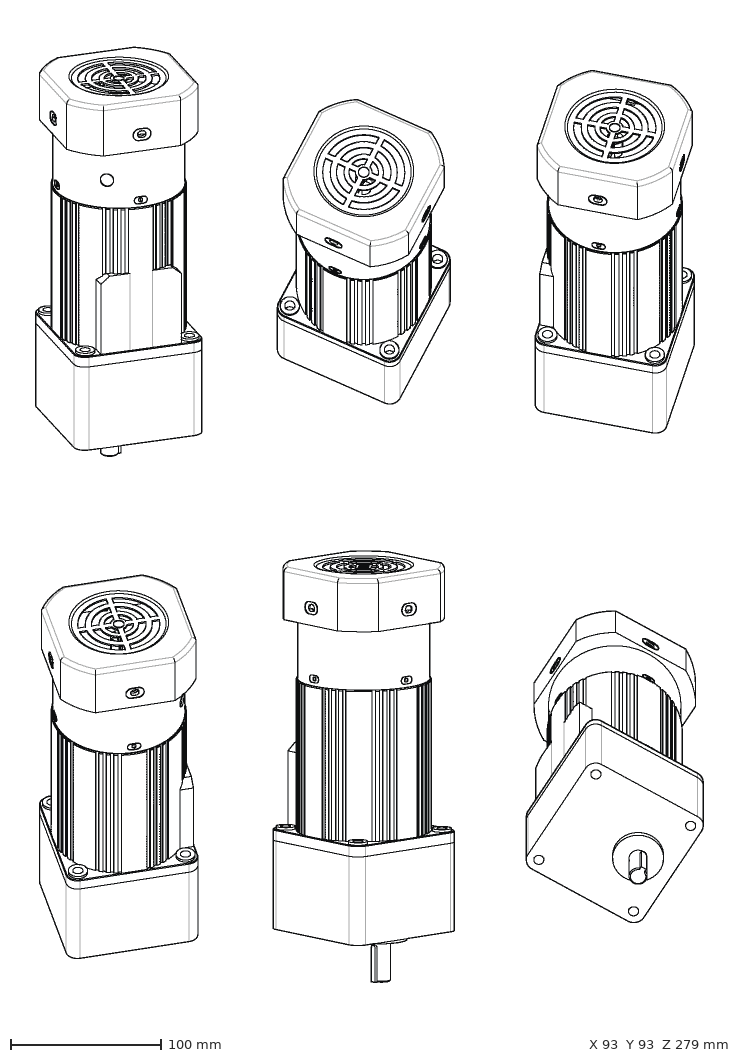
import cadquery as cq
total_height = 279.0
boss_bottom = 28.2
gearbox_bottom = 32.5
gearbox_top = 92.3
flange_top = 100.0
stator_top = 202.3
spigot_top = 210.5
shield_top = 243.5
cover_floor = 254.2
hole_row_level = 255.3

body_width = 90.0
corner_radius = 7.8
shaft_offset = -18.0
boss_radius = 34.0 / 2
shaft_radius = 12.0 / 2
shaft_chamfer = 0.8
key_width = 4.0
key_projection = 1.5
key_length = 25.0
key_end_radius = 0.49 * key_width

bolt_pitch = 73.7
bolt_radius = 3.3
pad_radius = 6.5
pad_height = 1.7
edge_chamfer = 0.5
stator_radius = body_width / 2
stator_bevel_height = 0.8
stator_bevel_width = 0.3
groove_count = 4
groove_pitch = 6.5
groove_width = 2.2
groove_depth = 0.8
band_count = 8
band_pitch = 360 / band_count
lead_box_inner_x = 28.0
lead_box_outer_x = 44.5
lead_box_width = 57.0
lead_box_top = 155.5
lead_box_bevel = 6.0
lead_box_bevel_drop = 5.0

shield_radius = 44.0
shield_wall = 1.0
cable_hole_radius = 4.5
cable_hole_angle = -30
cable_hole_level = 222.0
latch_level = 207.0
latch_length = 9.2
latch_height = 5.0
latch_depth = 0.5
latch_hole_radius = 1.5

cover_width = 93.0
cover_corner_radius = 53.8
cover_fillet = 2.8
cover_wall = 1.7
roof_thickness = 1.0
cavity_fillet = 2.0
dish_wall_radius = 35.0
dish_radius = 33.2
dish_floor_radius = 31.5
dish_depth = 1.0
grille_bottom = total_height - dish_depth - roof_thickness
grille_rings = [(22.3, 27.3), (13.0, 18.0), (5.5, 9.8)]
spoke_width = 4.0
hub_radius = 5.5
hub_top = 267.3
hub_slot_width = 2.5
hub_recess_radius = 3.5
hub_recess_depth = 0.5
side_recess_length = 12.5
side_recess_height = 8.5
side_recess_depth = 0.5
side_hole_length = 5.9
side_hole_height = 4.7

SIDE_ANGLES = [0, 90, 180, 270]


def cylinder(radius, bottom, top, x=0.0):
    return cq.Workplane("XY", origin=(x, 0, bottom)).circle(radius).extrude(top - bottom)


def rounded_block(bottom, top):
    block = cq.Workplane("XY", origin=(0, 0, bottom)).rect(body_width, body_width).extrude(top - bottom)
    return block.edges("|Z").fillet(corner_radius)


def radial_plane(distance, level):
    """Workplane facing +X, standing `distance` out from the axis at the given height."""
    return cq.Workplane("YZ", origin=(distance, 0, level))


def at_angle(shape, angle):
    return shape.rotate((0, 0, 0), (0, 0, 1), angle)


def corner_cylinders(radius, bottom, top):
    """Four upright cylinders, one on each bolt axis."""
    corners = cq.Workplane("XY", origin=(0, 0, bottom)).rect(bolt_pitch, bolt_pitch, forConstruction=True)
    return corners.vertices().circle(radius).extrude(top - bottom)


def make_gearbox():
    block = rounded_block(gearbox_bottom, gearbox_top)
    block = block.cut(corner_cylinders(bolt_radius, gearbox_bottom, gearbox_top))
    boss = cylinder(boss_radius, boss_bottom, gearbox_bottom, shaft_offset)
    shaft = cylinder(shaft_radius, 0, boss_bottom, shaft_offset).faces("<Z").chamfer(shaft_chamfer)
    key_reach = shaft_radius + key_projection
    key = (
        cq.Workplane("XY", origin=(shaft_offset, key_reach / 2, 0))
        .rect(key_width, key_reach)
        .extrude(key_length)
        .edges("|Y and >Z")
        .fillet(key_end_radius)
    )
    return block.union(boss).union(shaft).union(key)


def make_flange():
    flange = rounded_block(gearbox_top, flange_top).faces(">Z").chamfer(edge_chamfer)
    return flange.union(corner_cylinders(pad_radius, flange_top, flange_top + pad_height))


def make_stator():
    """Round body with bands of lengthwise grooves between eight plain strips, and a spigot on top."""
    stator = cylinder(stator_radius, flange_top, stator_top)
    stator = stator.faces(">Z").chamfer(stator_bevel_height, stator_bevel_width)
    groove = (
        cq.Workplane("XY", origin=(stator_radius, 0, flange_top))
        .rect(2 * groove_depth, groove_width)
        .extrude(stator_top - flange_top)
    )
    for band in range(band_count):
        band_centre = (band + 0.5) * band_pitch
        for index in range(groove_count):
            angle = band_centre + (index - (groove_count - 1) / 2) * groove_pitch
            stator = stator.cut(at_angle(groove, angle))
    return stator.union(cylinder(shield_radius - shield_wall, stator_top, spigot_top))


def make_lead_box():
    """Box on the +X side with both upper ends bevelled."""
    half_width = lead_box_width / 2
    return (
        cq.Workplane("YZ", origin=(lead_box_inner_x, 0, 0))
        .moveTo(-half_width, flange_top)
        .lineTo(half_width, flange_top)
        .lineTo(half_width, lead_box_top - lead_box_bevel_drop)
        .lineTo(half_width - lead_box_bevel, lead_box_top)
        .lineTo(-half_width + lead_box_bevel, lead_box_top)
        .lineTo(-half_width, lead_box_top - lead_box_bevel_drop)
        .close()
        .extrude(lead_box_outer_x - lead_box_inner_x)
    )


def make_motor():
    motor = make_flange().union(make_stator()).union(make_lead_box())
    return motor.cut(corner_cylinders(bolt_radius, gearbox_top, flange_top + pad_height))


def make_end_shield():
    """Thin tube with four latch recesses and one cable hole."""
    shield = cylinder(shield_radius, stator_top, shield_top)
    shield = shield.cut(cylinder(shield_radius - shield_wall, stator_top, shield_top))
    latch = radial_plane(shield_radius - latch_depth, latch_level).slot2D(latch_length, latch_height)
    latch = latch.extrude(2 * latch_depth)
    latch_hole = radial_plane(shield_radius, latch_level).circle(latch_hole_radius)
    latch = latch.union(latch_hole.extrude(-shield_wall))
    for angle in SIDE_ANGLES:
        shield = shield.cut(at_angle(latch, angle))
    cable_hole = radial_plane(shield_radius, cable_hole_level).circle(cable_hole_radius)
    return shield.cut(at_angle(cable_hole.extrude(-shield_radius / 2), cable_hole_angle))


def clipped_square(inset, bottom, top):
    """Square block with round corners, shrunk by `inset` from the outside of the cover."""
    width = cover_width - 2 * inset
    block = cq.Workplane("XY", origin=(0, 0, bottom)).rect(width, width).extrude(top - bottom)
    return block.intersect(cylinder(cover_corner_radius - inset, bottom, top))


def make_hub():
    """Round post inside the cover, quartered by two crossing slots."""
    hub = cylinder(hub_radius, cover_floor, hub_top)
    slot = cq.Workplane("XY", origin=(0, 0, cover_floor)).rect(2 * hub_radius, hub_slot_width)
    slot = slot.extrude(hub_top - cover_floor)
    return hub.cut(slot).cut(at_angle(slot, 90))


def make_cover_shell():
    roof_bottom = total_height - roof_thickness
    shell = clipped_square(0, shield_top, total_height).faces(">Z").edges().fillet(cover_fillet)
    cavity = clipped_square(cover_wall, cover_floor, roof_bottom).faces(">Z").edges().fillet(cavity_fillet)
    dish_wall = cylinder(dish_wall_radius, grille_bottom, roof_bottom)
    return shell.cut(cavity).union(dish_wall).union(make_hub())


def make_grille_cut():
    """Conical dish, three rings of slots split by four spokes, and a shallow hub recess."""
    floor_level = total_height - dish_depth
    dish = (
        cq.Workplane("XZ")
        .moveTo(0, floor_level)
        .lineTo(dish_floor_radius, floor_level)
        .lineTo(dish_radius, total_height)
        .lineTo(0, total_height)
        .close()
        .revolve(360, (0, 0), (0, 1))
    )
    slots = cq.Workplane("XY")
    for inner_radius, outer_radius in grille_rings:
        ring = cq.Workplane("XY", origin=(0, 0, grille_bottom)).circle(outer_radius).circle(inner_radius)
        slots = slots.add(ring.extrude(roof_thickness))
    slots = slots.combine()
    for length, width in [(cover_width, spoke_width), (spoke_width, cover_width)]:
        spoke = cq.Workplane("XY", origin=(0, 0, grille_bottom)).rect(length, width).extrude(roof_thickness)
        slots = slots.cut(spoke)
    recess = cylinder(hub_recess_radius, floor_level - hub_recess_depth, floor_level)
    return dish.union(slots).union(recess)


def make_side_opening():
    """Oblong recess with a smaller oblong hole through the cover wall."""
    wall_face = cover_width / 2
    recess = radial_plane(wall_face, hole_row_level).slot2D(side_recess_length, side_recess_height)
    hole = radial_plane(wall_face, hole_row_level).slot2D(side_hole_length, side_hole_height)
    return recess.extrude(-side_recess_depth).union(hole.extrude(-2 * cover_wall))


def make_fan_cover():
    cover = make_cover_shell().cut(make_grille_cut())
    opening = make_side_opening()
    for angle in SIDE_ANGLES:
        cover = cover.cut(at_angle(opening, angle))
    return cover


gearbox = make_gearbox()
motor = make_motor()
end_shield = make_end_shield()
fan_cover = make_fan_cover()

result = cq.Compound.makeCompound([gearbox.val(), motor.val(), end_shield.val(), fan_cover.val()])